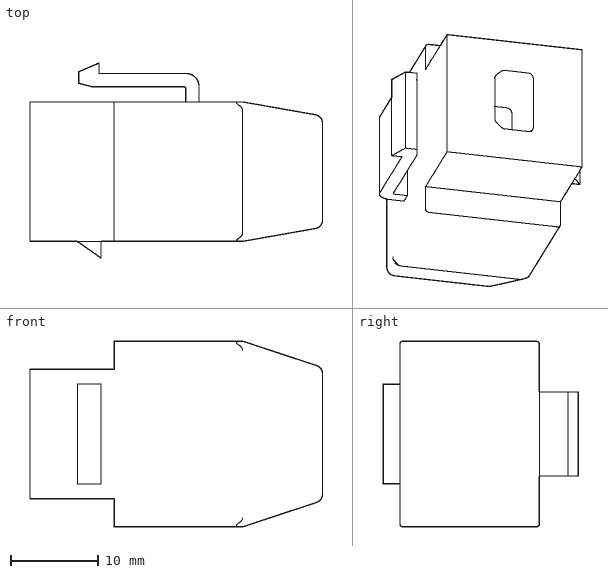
import cadquery as cq
import math

length = 33.53
body_width = 16.0
body_height = 21.3
body_edge_radius = 0.37
neck_length = 9.65
neck_height = 14.85

taper_start = 24.38
side_taper_angle = 10.0
top_taper_angle = 18.3
nose_radius = 1.0

socket_width = 4.55
socket_height = 7.4
socket_depth = neck_length
socket_offset = 0.07
socket_chamfer = 0.9
socket_corner_radius = 0.6
chamfer_blend_radius = 0.67

lug_start = 5.43
lug_end = 8.15
lug_projection = 1.9
lug_height = 11.45

latch_height = 9.65
latch_tip_x = 5.6
latch_hook_x = 7.95
latch_taper_end_x = 7.1
latch_root_x = 19.38
latch_thickness = 1.55
latch_rise = 3.25
latch_hook_rise = 4.45
latch_tip_top_rise = 3.45
latch_tip_bottom_rise = 2.1
latch_outer_radius = 1.48
latch_inner_radius = 0.2
root_overlap = 0.67

side_wall = body_width / 2


def make_body():
    """Round-edged block trimmed by a rounded pyramid to form the nose."""
    body_length = length - neck_length
    block = (
        cq.Workplane("YZ", origin=(neck_length, 0, 0))
        .rect(body_width, body_height)
        .extrude(body_length)
        .edges("|X")
        .fillet(body_edge_radius)
    )

    def section_size(x):
        run = x - taper_start
        width = body_width - 2 * run * math.tan(math.radians(side_taper_angle))
        height = body_height - 2 * run * math.tan(math.radians(top_taper_angle))
        return width, height

    envelope = (
        cq.Workplane("YZ", origin=(neck_length, 0, 0))
        .rect(*section_size(neck_length))
        .workplane(offset=body_length)
        .rect(*section_size(length))
        .loft(ruled=True)
        .edges("not <X")
        .fillet(nose_radius)
    )
    return block.intersect(envelope)


def make_neck():
    return cq.Workplane("YZ").rect(body_width, neck_height).extrude(neck_length)


def make_socket():
    opening = cq.Workplane("YZ").center(socket_offset, 0).rect(socket_width, socket_height)
    socket = opening.extrude(socket_depth)
    socket = socket.edges("|X and <Y").fillet(socket_corner_radius)
    socket = socket.edges("|X and >Y").chamfer(socket_chamfer)
    chamfer_edges = socket.edges("|X").edges(">Y or >>Y[-2]")
    return chamfer_edges.fillet(chamfer_blend_radius)


def make_lug():
    return (
        cq.Workplane("XY")
        .moveTo(lug_start, -side_wall)
        .lineTo(lug_end, -side_wall - lug_projection)
        .lineTo(lug_end, -side_wall + root_overlap)
        .lineTo(lug_start, -side_wall + root_overlap)
        .close()
        .extrude(lug_height / 2, both=True)
    )


def make_latch():
    outer_y = side_wall + latch_rise
    inner_y = outer_y - latch_thickness
    root_y = side_wall - root_overlap
    root_inner_x = latch_root_x - latch_thickness
    return (
        cq.Workplane("XY")
        .moveTo(latch_tip_x, side_wall + latch_tip_bottom_rise)
        .lineTo(latch_tip_x, side_wall + latch_tip_top_rise)
        .lineTo(latch_hook_x, side_wall + latch_hook_rise)
        .lineTo(latch_hook_x, outer_y)
        .lineTo(latch_root_x - latch_outer_radius, outer_y)
        .radiusArc((latch_root_x, outer_y - latch_outer_radius), latch_outer_radius)
        .lineTo(latch_root_x, root_y)
        .lineTo(root_inner_x, root_y)
        .lineTo(root_inner_x, inner_y - latch_inner_radius)
        .radiusArc((root_inner_x - latch_inner_radius, inner_y), -latch_inner_radius)
        .lineTo(latch_taper_end_x, inner_y)
        .close()
        .extrude(latch_height / 2, both=True)
    )


housing = make_body().union(make_neck())
result = housing.union(make_lug()).union(make_latch()).cut(make_socket())